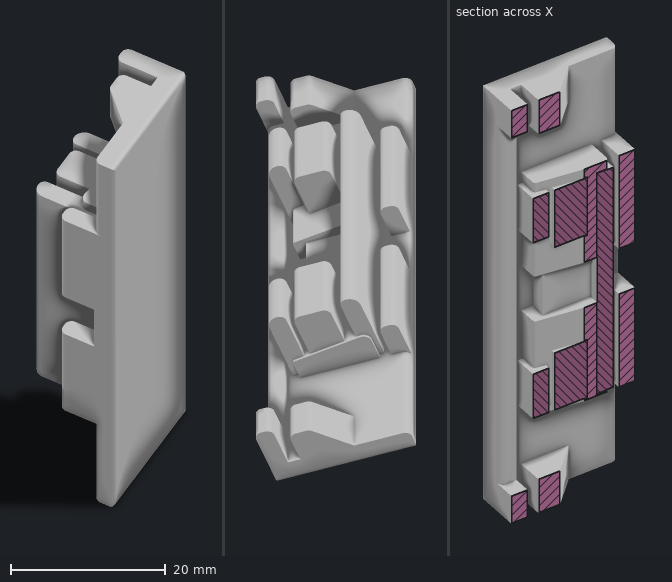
import cadquery as cq
import math


length = 66.0
width = 19.2
plate_depth = 3.0
back_round = 0.6
edge_round = 1.0
half_width = width / 2
half_length = length / 2

rib_thickness = 2.5
long_rib_depth = 4.5
hook_depth = 9.2
hook_length = 4.4
side_rib_depth = 8.1

wedge_depth = 7.5
wedge_length = 5.4
wedge_side_y = 5.4
wedge_corner_y = 2.6

pad_length = 14.9
pad_bottoms = (4.15, -17.95)
pad_high_y = wedge_side_y
pad_low_y = -5.55
pad_slope_angle = 7.8
pad_large_round = 1.1
pad_small_round = 0.4

insert_length = 35.2
insert_width = 12.5
insert_depth = 11.0
wall_thickness = rib_thickness
wall_outer_round = 1.5
wall_inner_round = 0.9
short_wall_length = 7.1
block_length = 9.2
block_low_y = -2.1
block_high_y = 2.9
block_depth = 13.15
insert_half_length = insert_length / 2
insert_half_width = insert_width / 2
insert_tip_depth = plate_depth + insert_depth


def box(depth_range, y_range, z_range):
    """Box between two depths (measured toward -X), two Y values and two Z values."""
    near, far = depth_range
    low_y, high_y = y_range
    low_z, high_z = z_range
    return cq.Workplane("XY").box(
        far - near, high_y - low_y, high_z - low_z, centered=False
    ).translate((-far, low_y, low_z))


def prism(points, z_range):
    """Extrude an XY outline between two heights."""
    low_z, high_z = z_range
    return cq.Workplane("XY").workplane(offset=low_z).polyline(points).close().extrude(high_z - low_z)


def end_ranges(outer, size):
    """Height ranges of two equal features that end at +outer and -outer."""
    return ((outer - size, outer), (-outer, size - outer))


def make_plate():
    plate = box((0, plate_depth), (-half_width, half_width), (-half_length, half_length))
    plate = plate.faces(">X").edges().fillet(back_round)
    return plate.edges("|Z and <X and <Y").fillet(edge_round)


def make_long_rib():
    """Low rib along the whole +Y side, rounded on its outer edge."""
    y_range = (half_width - rib_thickness, half_width)
    rib = box((plate_depth / 2, long_rib_depth), y_range, (-half_length, half_length))
    return rib.edges("|Z and <X and >Y").fillet(edge_round)


def make_hook(z_range):
    """Tall end portion of the +Y rib."""
    hook = box((plate_depth / 2, hook_depth), (half_width - rib_thickness, half_width), z_range)
    return hook.edges("|Z and <X").fillet(edge_round)


def make_side_rib(z_range):
    """Short rib on the -Y side."""
    rib = box((plate_depth / 2, side_rib_depth), (-half_width, rib_thickness - half_width), z_range)
    return rib.edges("|Z and <X").fillet(edge_round)


def make_wedge(z_range):
    """End wedge with one square side and one 45 degree side."""
    wedge_root_y = wedge_corner_y - (wedge_depth - plate_depth)
    wedge = prism(
        [
            (-plate_depth, wedge_side_y),
            (-wedge_depth, wedge_side_y),
            (-wedge_depth, wedge_corner_y),
            (-plate_depth, wedge_root_y),
        ],
        z_range,
    )
    return wedge.edges("|Z and <X").fillet(edge_round)


def make_pad(z_range):
    """Pad whose face slopes down toward +Y."""
    pad_high_depth = wedge_depth
    slope_drop = (pad_high_y - pad_low_y) * math.tan(math.radians(pad_slope_angle))
    pad_low_depth = pad_high_depth - slope_drop
    pad = prism(
        [
            (-plate_depth, pad_low_y),
            (-pad_high_depth, pad_low_y),
            (-pad_low_depth, pad_high_y),
            (-plate_depth, pad_high_y),
        ],
        z_range,
    )
    pad = pad.edges("|Z and <X").fillet(pad_large_round)
    front_high_edge = cq.selectors.NearestToPointSelector((-pad_low_depth, pad_high_y, sum(z_range) / 2))
    return pad.edges("|Z").edges(front_high_edge).fillet(pad_small_round)


def make_housing():
    housing = make_plate().union(make_long_rib())
    for z_range in end_ranges(half_length, hook_length):
        housing = housing.union(make_hook(z_range))
    for z_range in end_ranges(half_length, wedge_length):
        housing = housing.union(make_wedge(z_range))

    square_corner = box(
        (plate_depth / 2, plate_depth),
        (-half_width, rib_thickness - half_width),
        (min(pad_bottoms), max(pad_bottoms) + pad_length),
    )
    housing = housing.union(square_corner)
    for bottom in pad_bottoms:
        z_range = (bottom, bottom + pad_length)
        housing = housing.union(make_side_rib(z_range)).union(make_pad(z_range))
    return housing


def make_wall(side, z_range):
    """Insert wall on the given side (+1 or -1 in Y), with two unequal tip rounds."""
    outer_y = side * insert_half_width
    inner_y = side * (insert_half_width - wall_thickness)
    y_range = (min(outer_y, inner_y), max(outer_y, inner_y))
    outer_edge, inner_edge = (">Y", "<Y") if side > 0 else ("<Y", ">Y")
    wall = box((plate_depth, insert_tip_depth), y_range, z_range)
    wall = wall.edges("|Z and <X").edges(outer_edge).fillet(wall_outer_round)
    return wall.edges("|Z").edges(inner_edge).edges("<X").fillet(wall_inner_round)


def make_block(z_range):
    block = box((plate_depth, block_depth), (block_low_y, block_high_y), z_range)
    return block.edges("|Z and <X").fillet(edge_round)


def make_insert():
    """Channel lying on the plate, its floor as thick as its walls."""
    full_height = (-insert_half_length, insert_half_length)
    floor_high_y = insert_half_width - wall_thickness
    floor_depths = (plate_depth, plate_depth + wall_thickness)
    insert = box(floor_depths, (-insert_half_width, floor_high_y), full_height)
    insert = insert.union(make_wall(-1, full_height))
    for z_range in end_ranges(insert_half_length, short_wall_length):
        insert = insert.union(make_wall(1, z_range))
    for z_range in end_ranges(insert_half_length, block_length):
        insert = insert.union(make_block(z_range))
    return insert.faces(">X").edges().fillet(back_round)


insert = make_insert()
housing = make_housing().cut(insert)

result = cq.Compound.makeCompound([housing.solids().val(), insert.solids().val()])